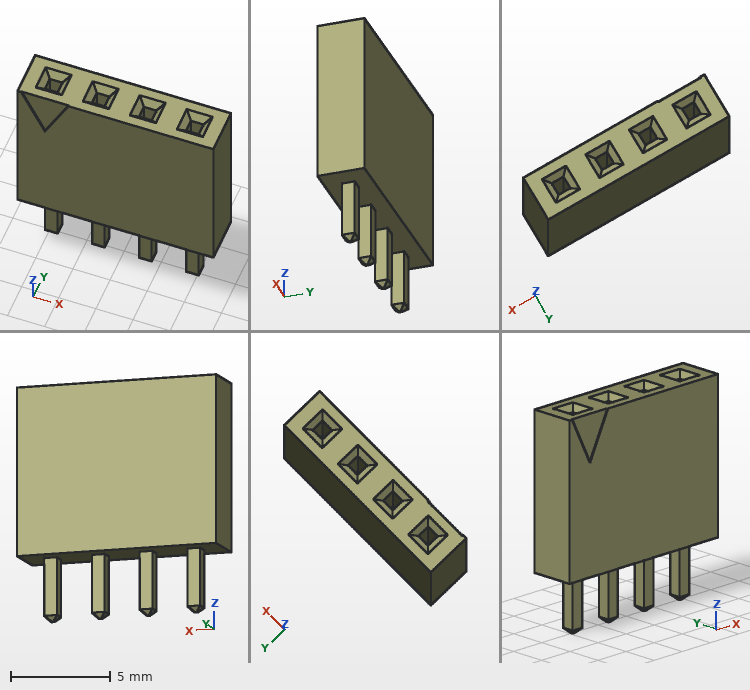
import cadquery as cq

total_height = 11.9
housing_length = 10.55
housing_width = 2.5
housing_height = 8.66
contact_count = 4
pitch = 2.53
pin_width = 0.68
pin_tip_chamfer = 0.27
socket_mouth_width = 1.39
marker_depth = 0.05
marker_height = 2.56

pin_projection = total_height - housing_height
pin_seat_depth = housing_height / 2
mouth_chamfer = (socket_mouth_width - pin_width) / 2
marker_width = pitch
contact_positions = [(i - (contact_count - 1) / 2) * pitch for i in range(contact_count)]


def make_socket(x):
    """Square passage through the housing, with a funnel-shaped mouth at the top."""
    passage = (
        cq.Workplane("XY")
        .center(x, 0)
        .rect(pin_width, pin_width)
        .extrude(housing_height)
    )
    mouth = (
        cq.Workplane("XY", origin=(x, 0, housing_height - mouth_chamfer))
        .rect(pin_width, pin_width)
        .workplane(offset=mouth_chamfer)
        .rect(socket_mouth_width, socket_mouth_width)
        .loft(ruled=True)
    )
    return passage.union(mouth)


def make_marker(x):
    """Shallow triangular recess in the front face, pointing down at the first contact."""
    return (
        cq.Workplane("XZ", origin=(x, -housing_width / 2, housing_height))
        .moveTo(-marker_width / 2, 0)
        .lineTo(marker_width / 2, 0)
        .lineTo(0, -marker_height)
        .close()
        .extrude(-marker_depth)
    )


def make_housing():
    """Rectangular housing with a row of sockets and a first-contact marker."""
    housing = cq.Workplane("XY").rect(housing_length, housing_width).extrude(housing_height)
    for x in contact_positions:
        housing = housing.cut(make_socket(x))
    return housing.cut(make_marker(contact_positions[0]))


def make_pin(x):
    """Square pin filling the lower half of its passage, with a chamfered lower tip."""
    return (
        cq.Workplane("XY", origin=(x, 0, -pin_projection))
        .rect(pin_width, pin_width)
        .extrude(pin_projection + pin_seat_depth)
        .faces("<Z")
        .chamfer(pin_tip_chamfer)
    )


housing = make_housing()
pins = [make_pin(x).solids().val() for x in contact_positions]

result = cq.Compound.makeCompound([housing.solids().val(), *pins])